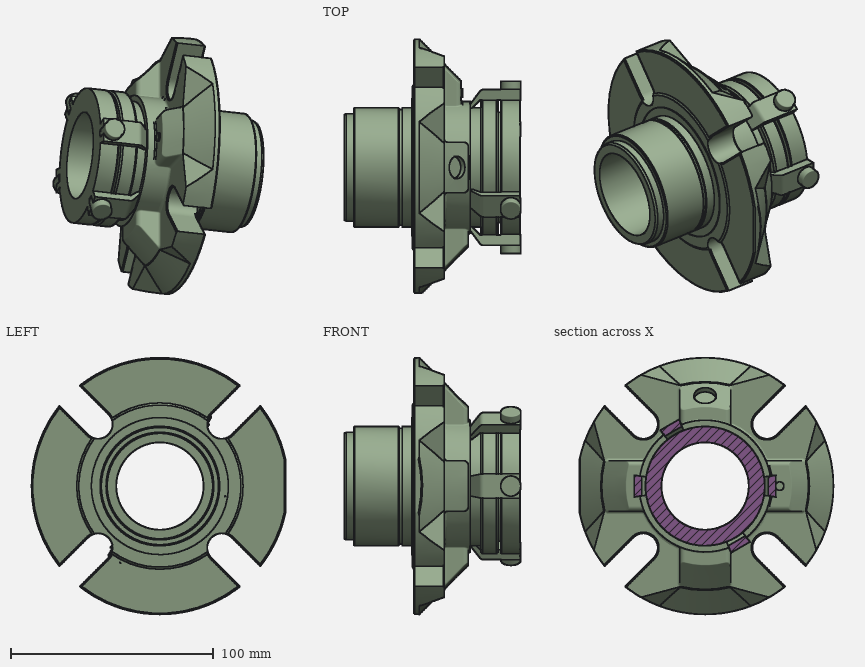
import cadquery as cq
import math

BORE_DIA = 43.0

PILOT_DIA = 53.21
PILOT_END_X = 4.7
PILOT_CHAMFER_LENGTH = 1.2
PILOT_CHAMFER_DEPTH = 0.6
BARREL_DIA = 59.05
BARREL_END_X = 27.3
BARREL_CHAMFER = 0.6
NECK_DIA = 57.2
NECK_END_X = 28.7
COLLAR_DIA = 59.03

GASKET_DIA = 67.67
GASKET_X = 33.3
SPIGOT_BASE_DIA = 82.1
SPIGOT_FACE_DIA = 80.0
SPIGOT_X = 33.7

FLANGE_DIA = 126.75
FLANGE_RADIUS = FLANGE_DIA / 2
FLANGE_FRONT_X = 34.4
FLANGE_BACK_X = 49.5
FLANGE_CHAMFER = 0.6
FLANGE_WIDTH_OVER_FLAT = 125.37
FLANGE_FLAT_Y = FLANGE_RADIUS - FLANGE_WIDTH_OVER_FLAT
FLAT_EDGE_CHAMFER = 0.4
SLOT_WIDTH = 14.2
SLOT_BACK_CHAMFER = 0.6
SLOT_CENTRE_RADIUS = 43.1
SLOT_ANGLES = (45, 135, 225, 315)

CONE_START_X = 37.1
CONE_ANGLE = 45.0
QUARTER_ANGLES = (0, 90, 180, 270)
RELIEF_ROOF_ANGLE = 15.0
RELIEF_RIDGE_RADIUS = 53.2
RELIEF_RIDGE_SLOPE = 0.55
HUB_DIA = 65.1
HUB_DISC_DIA = 120.0
HUB_END_X = 62.2
LOBE_WIDTH = 25.1
LOBE_START_X = 42.0
LOBE_END_X = 61.4
SHORT_LOBE_END_X = 57.8
SHORT_LOBE_ANGLE = 270
LOBE_CORNER_RADIUS = 2.6
LOBE_EDGE_ROUND = 0.6
LOBE_ROOT_FILLET = 0.75
FLANGE_ROOT_FILLET = 1.3

TOLERANCE = 0.01
EDGE_SAMPLES = (0, 0.5, 1)

PORT_DIA = 11.0
PORT_DEPTH = 3.0
PORT_X = 55.8
PLUG_DIA = 4.2
PLUG_RADIUS = 36.8
PLUG_HEIGHT = 0.7

TAIL_DIA = 59.0
RING_DIA = 66.95
RING_GROOVE_DIA = 54.66
FRONT_RING_X = 67.5
FRONT_RING_END_X = 76.0
FRONT_RING_CHAMFER = 0.9
REAR_RING_X = 77.3
REAR_RING_CHAMFER = 0.4
TAIL_END_X = 86.9

CLIP_ANGLES = (30, 90, 210, 270)
CLIP_WIDTH = 12.0
CLIP_INNER_RADIUS = 33.2
CLIP_OUTER_RADIUS = 38.5
CLIP_INNER_BEND_X = 67.2
CLIP_OUTER_BEND_X = 67.7
CLIP_ROOT_INNER_RADIUS = 28.3
CLIP_ROOT_OUTER_RADIUS = 31.2
CLIP_BEND_ROUND = 2.5
PIN_DIA = 10.0
PIN_END_RADIUS = 42.55
PIN_ROUND = 0.4
TOTAL_LENGTH = 87.3
PIN_X = TOTAL_LENGTH - PIN_DIA / 2


def turn(shape, angle):
    """Rotate a shape about the shaft axis; 0 is +Z and 90 is -Y."""
    return shape.rotate((0, 0, 0), (1, 0, 0), angle)


def disc(diameter, start_x, end_x):
    """Solid cylinder on the shaft axis."""
    return cq.Workplane("YZ", origin=(start_x, 0, 0)).circle(diameter / 2).extrude(end_x - start_x)


def cone_radius(x):
    """Radius of the conical back surface at a station on the shaft axis."""
    return FLANGE_RADIUS - (x - CONE_START_X) / math.tan(math.radians(CONE_ANGLE))


def make_sleeve():
    barrel = disc(BARREL_DIA, PILOT_END_X, BARREL_END_X).faces("<X or >X").chamfer(BARREL_CHAMFER)
    pilot = (
        disc(PILOT_DIA, 0, PILOT_END_X)
        .faces("<X")
        .chamfer(PILOT_CHAMFER_LENGTH, PILOT_CHAMFER_DEPTH)
    )
    return (
        pilot.union(barrel)
        .union(disc(NECK_DIA, BARREL_END_X, NECK_END_X))
        .union(disc(COLLAR_DIA, NECK_END_X, FLANGE_FRONT_X))
    )


def make_front_faces():
    spigot = (
        cq.Workplane("YZ", origin=(FLANGE_FRONT_X, 0, 0))
        .circle(SPIGOT_BASE_DIA / 2)
        .workplane(offset=SPIGOT_X - FLANGE_FRONT_X)
        .circle(SPIGOT_FACE_DIA / 2)
        .loft()
    )
    seat = disc(SPIGOT_BASE_DIA, FLANGE_FRONT_X, FLANGE_FRONT_X + FLANGE_CHAMFER)
    return spigot.union(seat).union(disc(GASKET_DIA, GASKET_X, FLANGE_FRONT_X))


def make_slots():
    """Four open bolt slots, round at their inner ends, running the length of the body."""
    reach = FLANGE_DIA
    length = reach + SLOT_WIDTH
    centre = SLOT_CENTRE_RADIUS + reach / 2
    slot = (
        cq.Workplane("YZ", origin=(GASKET_X, 0, 0))
        .center(0, centre)
        .slot2D(length, SLOT_WIDTH, 90)
        .extrude(TAIL_END_X - GASKET_X)
    )
    slots = cq.Workplane()
    for angle in SLOT_ANGLES:
        slots = slots.add(turn(slot, angle))
    return slots.combine()


def make_cone(end_x):
    """Solid inside the conical back surface, from the start of the cone to a given station."""
    return (
        cq.Workplane("XY")
        .polyline(
            [
                (CONE_START_X, 0),
                (CONE_START_X, FLANGE_RADIUS),
                (end_x, cone_radius(end_x)),
                (end_x, 0),
            ]
        )
        .close()
        .revolve(360, (0, 0, 0), (1, 0, 0))
    )


def make_relief():
    """Material removed around the cone in one quarter, bounded by two sloping roof planes."""

    def section(x):
        ridge = RELIEF_RIDGE_RADIUS - RELIEF_RIDGE_SLOPE * (x - CONE_START_X)
        half_width = FLANGE_RADIUS
        eave = ridge + half_width * math.tan(math.radians(RELIEF_ROOF_ANGLE))
        top = 2 * FLANGE_RADIUS
        return [(0, ridge), (half_width, eave), (half_width, top), (-half_width, top), (-half_width, eave)]

    roof = (
        cq.Workplane("YZ", origin=(CONE_START_X, 0, 0))
        .polyline(section(CONE_START_X))
        .close()
        .workplane(offset=FLANGE_BACK_X - CONE_START_X)
        .polyline(section(FLANGE_BACK_X))
        .close()
        .loft(ruled=True)
    )
    return roof.cut(make_cone(FLANGE_BACK_X))


def make_flange(slots):
    """Flange disc with its flat and slots, chamfered all round the front face."""
    flat_cutter = cq.Workplane("XY").box(FLANGE_DIA, FLANGE_DIA, FLANGE_DIA)
    flat_cutter = flat_cutter.translate((0, FLANGE_FLAT_Y - FLANGE_DIA / 2, 0))
    flange = disc(FLANGE_DIA, FLANGE_FRONT_X, FLANGE_BACK_X).cut(flat_cutter)
    return flange.cut(slots).faces("<X").chamfer(FLANGE_CHAMFER)


def is_lobe_rim(edge):
    """True for an edge where the conical top of a lobe meets one of its flat sides."""
    return edge.geomType() == "HYPERBOLA" and edge.Center().x > LOBE_START_X


def make_lobe(end_x):
    """One lobe on the +Z side: the cone cut to a flat-sided strip with round rear corners."""
    length = end_x - LOBE_START_X
    strip = (
        cq.Workplane("XY")
        .center(LOBE_START_X + length / 2, 0)
        .rect(length, LOBE_WIDTH)
        .extrude(FLANGE_RADIUS)
        .edges("|Z and >X")
        .fillet(LOBE_CORNER_RADIUS)
    )
    lobe = strip.intersect(make_cone(end_x))
    return pick_edges(lobe, is_lobe_rim).fillet(LOBE_EDGE_ROUND)


def pick_edges(body, test):
    """Workplane holding the edges of a body that pass a test."""
    return body.newObject([edge for edge in body.edges().vals() if test(edge)])


def lies_on_back(edge):
    """True for an edge in the back plane of the flange."""
    return all(abs(edge.positionAt(t).x - FLANGE_BACK_X) < TOLERANCE for t in EDGE_SAMPLES)


def is_lobe_root(edge):
    """True for an edge where a lobe meets the round of the hub."""
    points = [edge.positionAt(t) for t in EDGE_SAMPLES]
    on_hub = all(abs(math.hypot(p.y, p.z) - HUB_DIA / 2) < TOLERANCE for p in points)
    return on_hub and FLANGE_BACK_X + TOLERANCE < edge.Center().x < HUB_END_X - TOLERANCE


def is_flange_root(edge):
    """True for an edge where the hub or the side of a lobe meets the back of the flange."""
    centre = edge.Center()
    inside_cone = math.hypot(centre.y, centre.z) < cone_radius(FLANGE_BACK_X) - LOBE_ROOT_FILLET
    is_outer_circle = edge.geomType() == "CIRCLE" and edge.radius() > HUB_DIA / 2 + TOLERANCE
    return lies_on_back(edge) and inside_cone and not is_outer_circle


def is_slot_mouth(edge):
    """True for an edge of a bolt slot on the back of the flange."""
    if edge.geomType() == "CIRCLE":
        return lies_on_back(edge) and abs(edge.radius() - SLOT_WIDTH / 2) < TOLERANCE
    run = edge.endPoint() - edge.startPoint()
    return lies_on_back(edge) and abs(abs(run.y) - abs(run.z)) < TOLERANCE


def is_flat_edge(edge):
    """True for the curved edge where the flange flat runs out into the cone."""
    middle = edge.positionAt(0.5)
    return abs(middle.y - FLANGE_FLAT_Y) < TOLERANCE and middle.x > CONE_START_X + TOLERANCE


def make_hub():
    """Hub with its four lobes on a plain disc, blended along every root."""
    hub = disc(HUB_DISC_DIA, FLANGE_FRONT_X + FLANGE_CHAMFER, FLANGE_BACK_X)
    hub = hub.union(disc(HUB_DIA, FLANGE_FRONT_X, HUB_END_X))
    for angle in QUARTER_ANGLES:
        end_x = SHORT_LOBE_END_X if angle == SHORT_LOBE_ANGLE else LOBE_END_X
        hub = hub.union(turn(make_lobe(end_x), angle))
    hub = pick_edges(hub, is_lobe_root).fillet(LOBE_ROOT_FILLET)
    return pick_edges(hub, is_flange_root).fillet(FLANGE_ROOT_FILLET)


def make_gland():
    """Flange and hub together, slotted and relieved, with the port, plug and front faces."""
    slots = make_slots()
    gland = make_flange(slots).union(make_hub()).union(make_front_faces()).cut(slots)
    relief = make_relief()
    for angle in QUARTER_ANGLES:
        gland = gland.cut(turn(relief, angle))
    gland = pick_edges(gland, is_slot_mouth).chamfer(SLOT_BACK_CHAMFER)
    gland = pick_edges(gland, is_flat_edge).chamfer(FLAT_EDGE_CHAMFER)
    return gland.union(make_plug()).cut(make_port())


def make_port():
    """Blind port square to the cone of the +Z lobe."""
    slope = math.radians(CONE_ANGLE)
    normal = cq.Vector(math.sin(slope), 0, math.cos(slope))
    mouth = cq.Vector(PORT_X, 0, cone_radius(PORT_X))
    bottom = mouth - normal * PORT_DEPTH
    return cq.Workplane(cq.Solid.makeCylinder(PORT_DIA / 2, 2 * PORT_DEPTH, bottom, normal))


def make_plug():
    """Small plug standing out of the end of the short lobe."""
    plug = disc(PLUG_DIA, SHORT_LOBE_END_X - PLUG_HEIGHT, SHORT_LOBE_END_X + PLUG_HEIGHT)
    return turn(plug.translate((0, 0, PLUG_RADIUS)), SHORT_LOBE_ANGLE)


def make_tail():
    front_ring = disc(RING_DIA, FRONT_RING_X, FRONT_RING_END_X)
    front_ring = front_ring.faces("<X or >X").chamfer(FRONT_RING_CHAMFER)
    rear_ring = disc(RING_DIA, REAR_RING_X, TAIL_END_X).faces("<X").chamfer(REAR_RING_CHAMFER)
    return (
        disc(TAIL_DIA, HUB_END_X, FRONT_RING_X)
        .union(front_ring)
        .union(disc(RING_GROOVE_DIA, FRONT_RING_END_X, REAR_RING_X))
        .union(rear_ring)
    )


def make_clip():
    """Cranked clip on the +Z side, with radial flanks and a round pin, seated into the rear ring."""
    side = (
        cq.Workplane("XZ")
        .polyline(
            [
                (HUB_END_X, CLIP_ROOT_INNER_RADIUS),
                (CLIP_INNER_BEND_X, CLIP_INNER_RADIUS),
                (REAR_RING_X, CLIP_INNER_RADIUS),
                (REAR_RING_X, RING_GROOVE_DIA / 2),
                (TAIL_END_X, RING_GROOVE_DIA / 2),
                (TAIL_END_X, CLIP_OUTER_RADIUS),
                (CLIP_OUTER_BEND_X, CLIP_OUTER_RADIUS),
                (HUB_END_X, CLIP_ROOT_OUTER_RADIUS),
            ]
        )
        .close()
        .extrude(CLIP_WIDTH / 2, both=True)
        .edges(cq.selectors.NearestToPointSelector((CLIP_OUTER_BEND_X, 0, CLIP_OUTER_RADIUS)))
        .fillet(CLIP_BEND_ROUND)
    )
    wedge = (
        cq.Workplane("YZ", origin=(HUB_END_X, 0, 0))
        .polyline([(0, 0), (CLIP_WIDTH / 2, CLIP_OUTER_RADIUS), (-CLIP_WIDTH / 2, CLIP_OUTER_RADIUS)])
        .close()
        .extrude(TAIL_END_X - HUB_END_X)
    )
    pin = (
        cq.Workplane("XY", origin=(PIN_X, 0, CLIP_INNER_RADIUS))
        .circle(PIN_DIA / 2)
        .extrude(PIN_END_RADIUS - CLIP_INNER_RADIUS)
        .faces(">Z")
        .fillet(PIN_ROUND)
    )
    return side.intersect(wedge).union(pin)


def make_part():
    part = make_gland().union(make_sleeve()).union(make_tail())
    for angle in CLIP_ANGLES:
        part = part.union(turn(make_clip(), angle))
    return part.cut(disc(BORE_DIA, 0, TAIL_END_X))


result = make_part()